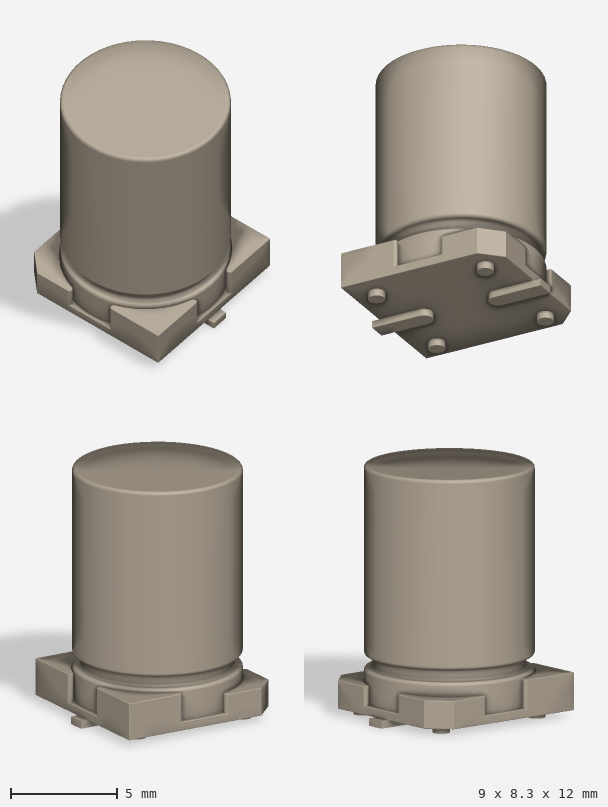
import cadquery as cq
import math

base_width = 8.3
total_height = 12.0

foot_height = 0.36
floor_top = 0.78
low_post_top = 1.72
high_post_top = 2.17
corner_chamfer = 1.0
notch_half_width = 1.19
post_outer_radius = 0.15
post_inner_radius = 0.17
edge_radius = 0.04
seat_clearance = 0.05

can_radius = 8.0 / 2
rim_radius = 0.17
neck_radius = 7.2 / 2
groove_bottom = 2.34
groove_top = 2.93
groove_lip_radius = 0.17
groove_root_radius = 0.13

seat_radius = can_radius + seat_clearance

foot_radius = 0.8 / 2
foot_offset = 2.9
lead_span = 9.0
lead_width = 0.9
lead_inner_end = 1.54


def make_block(bottom, top):
    """Square block with both -X corners cut off and its upright edges rounded."""
    block = cq.Workplane("XY", origin=(0, 0, bottom)).rect(base_width, base_width).extrude(top - bottom)
    block = block.edges("|Z and <X").chamfer(corner_chamfer)
    return block.edges("|Z").fillet(edge_radius)


def make_plate():
    """Base plate whose top is the floor of the notches."""
    return make_block(foot_height, floor_top).faces("<Z or >Z").edges().fillet(edge_radius)


def make_posts(side, top):
    """The two corner posts on one X side (-1 or 1), hollowed to clear the can."""
    bottom = (foot_height + floor_top) / 2
    post_width = base_width / 2 - notch_half_width
    post_centre = notch_half_width + post_width / 2
    corners = [(side * post_centre, -post_centre), (side * post_centre, post_centre)]
    corner_columns = cq.Workplane("XY").pushPoints(corners).rect(post_width, post_width).extrude(top)
    seat = cq.Workplane("XY").circle(seat_radius).extrude(top)
    posts = make_block(bottom, top).intersect(corner_columns).cut(seat)

    outer_end = base_width / 2
    inner_end = math.sqrt(seat_radius**2 - notch_half_width**2)
    for wall_end, radius in ((outer_end, post_outer_radius), (inner_end, post_inner_radius)):
        for x, y in ((notch_half_width, wall_end), (wall_end, notch_half_width)):
            for mirror in (-1, 1):
                upright = cq.selectors.NearestToPointSelector((side * x, mirror * y, (bottom + top) / 2))
                posts = posts.edges("|Z").edges(upright).fillet(radius)
    return posts.faces(">Z").edges().fillet(edge_radius)


def make_can():
    """Solid can with a rounded top rim and a groove rolled in just above the base."""
    lip_x = can_radius - groove_lip_radius
    root_x = neck_radius + groove_root_radius
    rim_x = can_radius - rim_radius
    profile = (
        cq.Workplane("XZ")
        .moveTo(0, floor_top)
        .lineTo(can_radius, floor_top)
        .lineTo(can_radius, groove_bottom - groove_lip_radius)
        .radiusArc((lip_x, groove_bottom), -groove_lip_radius)
        .lineTo(root_x, groove_bottom)
        .radiusArc((neck_radius, groove_bottom + groove_root_radius), groove_root_radius)
        .lineTo(neck_radius, groove_top - groove_root_radius)
        .radiusArc((root_x, groove_top), groove_root_radius)
        .lineTo(lip_x, groove_top)
        .radiusArc((can_radius, groove_top + groove_lip_radius), -groove_lip_radius)
        .lineTo(can_radius, total_height - rim_radius)
        .radiusArc((rim_x, total_height), -rim_radius)
        .lineTo(0, total_height)
        .close()
    )
    return profile.revolve(360, (0, 0, 0), (0, 1, 0))


def make_feet():
    """Four round feet under the base."""
    pitch = 2 * foot_offset
    centres = cq.Workplane("XY").rect(pitch, pitch, forConstruction=True).vertices()
    return centres.circle(foot_radius).extrude(foot_height)


def make_lead(side):
    """Flat lead reaching out past the base on one X side, with a round inner end."""
    lead_radius = lead_width / 2
    outer_x = side * lead_span / 2
    inner_x = side * lead_inner_end
    tangent_x = inner_x + side * lead_radius
    return (
        cq.Workplane("XY")
        .moveTo(outer_x, -lead_radius)
        .lineTo(tangent_x, -lead_radius)
        .threePointArc((inner_x, 0), (tangent_x, lead_radius))
        .lineTo(outer_x, lead_radius)
        .close()
        .extrude(foot_height)
    )


result = make_plate().union(make_can()).union(make_feet())
for side, post_top in ((-1, low_post_top), (1, high_post_top)):
    result = result.union(make_posts(side, post_top)).union(make_lead(side))